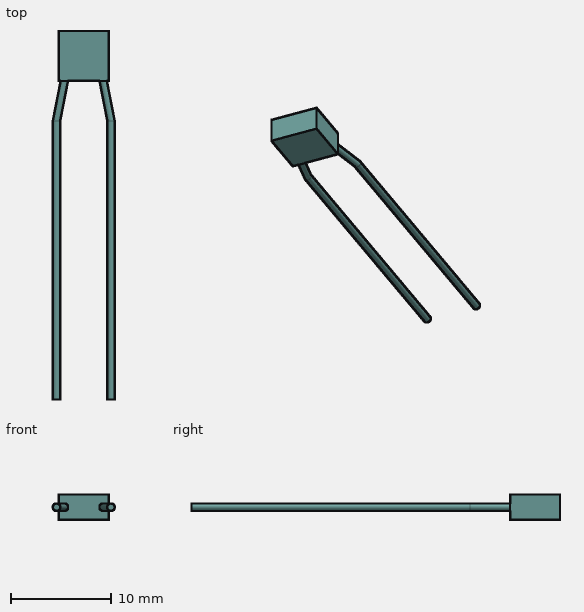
import cadquery as cq

housing_width = 5.0
housing_length = 5.0
housing_height = 2.54

overall_width = 6.2
overall_length = 36.83
lead_diameter = 0.76
splay_length = 4.0
exit_spacing = 3.88

lead_pitch = overall_width - lead_diameter
lead_reach = overall_length - housing_length


def make_housing():
    """The rectangular housing; the leads butt against its -Y face."""
    return cq.Workplane("XY").box(
        housing_width, housing_length, housing_height, centered=(True, False, True)
    )


def make_lead(side):
    """One bent lead; side is -1 for the -X lead and +1 for the +X lead."""
    exit_x = side * exit_spacing / 2
    tip_x = side * lead_pitch / 2
    lead_radius = lead_diameter / 2

    splayed_run = (
        cq.Workplane("XZ", origin=(exit_x, 0, 0))
        .circle(lead_radius)
        .workplane(offset=splay_length)
        .center(tip_x - exit_x, 0)
        .circle(lead_radius)
        .loft(ruled=True)
    )
    parallel_run = (
        cq.Workplane("XZ", origin=(tip_x, -splay_length, 0))
        .circle(lead_radius)
        .extrude(lead_reach - splay_length)
    )
    return splayed_run.union(parallel_run).solids()


housing = make_housing()
leads = [make_lead(side) for side in (-1, 1)]

result = cq.Compound.makeCompound([housing.val(), *[lead.val() for lead in leads]])